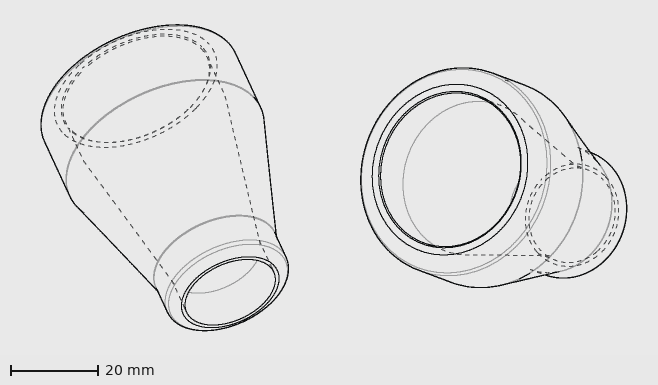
import cadquery as cq
import math

length = 64.0
large_diameter = 48.3
small_diameter = 30.0
large_bore_diameter = 35.7
small_bore_diameter = 22.0
large_collar_length = 20.0
large_bore_length = 12.0
small_collar_length = 10.0
large_face_diameter = 39.7
small_face_diameter = 23.8
bevel_angle = 30.0
edge_radius = 1.0
mouth_chamfer = 0.3

large_radius = large_diameter / 2
small_radius = small_diameter / 2
large_bore_radius = large_bore_diameter / 2
small_bore_radius = small_bore_diameter / 2
large_face_radius = large_face_diameter / 2
small_face_radius = small_face_diameter / 2
cone_end = length - small_collar_length


def bevel_length(outer_radius, face_radius):
    """Axial length of an end bevel."""
    return (outer_radius - face_radius) * math.tan(math.radians(bevel_angle))


def revolve_about_x(points):
    """Solid of revolution from (x, radius) points, closed along the axis."""
    return (
        cq.Workplane("XY")
        .polyline(points)
        .close()
        .revolve(360, (0, 0, 0), (1, 0, 0))
    )


def outer_body():
    """Bevelled collars joined by a cone, with all edges but the end rims rounded."""
    large_bevel_end = bevel_length(large_radius, large_face_radius)
    small_bevel_start = length - bevel_length(small_radius, small_face_radius)
    body = revolve_about_x([
        (0, 0),
        (0, large_face_radius),
        (large_bevel_end, large_radius),
        (large_collar_length, large_radius),
        (cone_end, small_radius),
        (small_bevel_start, small_radius),
        (length, small_face_radius),
        (length, 0),
    ])
    inner_edges = body.edges("%CIRCLE").edges("not(<X or >X)")
    return body.newObject(inner_edges.vals()).fillet(edge_radius)


def bore():
    """Two straight bores joined by a cone, with a small chamfer at the large mouth."""
    return revolve_about_x([
        (0, 0),
        (0, large_bore_radius + mouth_chamfer),
        (mouth_chamfer, large_bore_radius),
        (large_bore_length, large_bore_radius),
        (cone_end, small_bore_radius),
        (length, small_bore_radius),
        (length, 0),
    ])


result = outer_body().cut(bore())